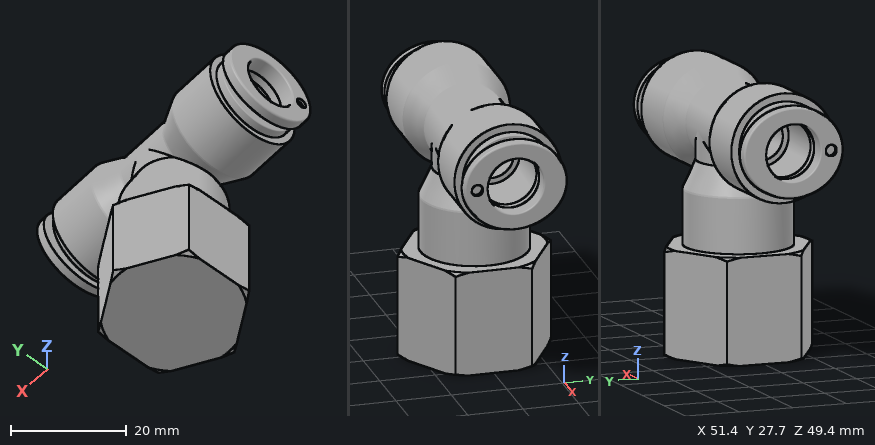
import cadquery as cq

overall_length = 51.4
overall_height = 49.4
hex_across_corners = 27.7

barrel_diameter = 19.4
barrel_radius = barrel_diameter / 2
waist_radius = 14.8 / 2
body_end = 20.8
shoulder_start = 10.7
shoulder_end = 5.65
shoulder_fillet = 0.8
shoulder_edge_margin = 0.5
through_bore_diameter = 8.0
tube_bore_diameter = 10.2
tube_stop = shoulder_start

collar_diameter = 16.5
collar_length = 1.7
collar_edge_fillet = 0.2
collar_end = body_end + collar_length

sleeve_end = overall_length / 2
sleeve_bore_diameter = 10.15
sleeve_neck_diameter = 11.7
flange_thickness = 2.0
flange_width = 18.5
flange_height = 16.05
flange_edge_fillet = 0.35
bore_mouth_fillet = 0.3
dimple_diameter = 2.0
dimple_offset = 7.0
dimple_depth = 0.6

nut_height = 19.1
nut_bottom = barrel_radius - overall_height
nut_top = nut_bottom + nut_height
chamfer_circle_radius = 12.8
chamfer_drop = 0.5


def cylinder_along_x(diameter, start, end):
    return cq.Workplane("YZ", origin=(start, 0, 0)).circle(diameter / 2).extrude(end - start)


def make_run():
    """Barrel, cone and waist of the run, revolved about X."""
    run = (
        cq.Workplane("XY")
        .moveTo(-body_end, 0)
        .lineTo(-body_end, barrel_radius)
        .lineTo(-shoulder_start, barrel_radius)
        .lineTo(-shoulder_end, waist_radius)
        .lineTo(shoulder_end, waist_radius)
        .lineTo(shoulder_start, barrel_radius)
        .lineTo(body_end, barrel_radius)
        .lineTo(body_end, 0)
        .close()
        .revolve(360, (0, 0, 0), (1, 0, 0))
    )
    shoulder_edges = cq.selectors.BoxSelector(
        (-shoulder_start - shoulder_edge_margin, -barrel_diameter, -barrel_diameter),
        (shoulder_start + shoulder_edge_margin, barrel_diameter, barrel_diameter),
    )
    return run.edges("%CIRCLE").edges(shoulder_edges).fillet(shoulder_fillet)


def make_branch():
    """Waist, cone and barrel of the branch, revolved about Z."""
    branch = (
        cq.Workplane("XZ")
        .lineTo(waist_radius, 0)
        .lineTo(waist_radius, -shoulder_end)
        .lineTo(barrel_radius, -shoulder_start)
        .lineTo(barrel_radius, nut_top)
        .lineTo(0, nut_top)
        .close()
        .revolve(360, (0, 0, 0), (0, 1, 0))
    )
    shoulder_edge = cq.selectors.NearestToPointSelector((barrel_radius, 0, -shoulder_start))
    return branch.edges("%CIRCLE").edges(shoulder_edge).fillet(shoulder_fillet)


def make_tee():
    tee = make_run().union(make_branch())
    tee = tee.cut(cylinder_along_x(through_bore_diameter, -body_end, body_end))
    for side in (-1, 1):
        tee = tee.cut(cylinder_along_x(tube_bore_diameter, side * tube_stop, side * body_end))
    return tee


def make_collar():
    """Collar on the -X run face."""
    collar = cylinder_along_x(collar_diameter, -collar_end, -body_end)
    collar = collar.faces("<X").edges().fillet(collar_edge_fillet)
    return collar.cut(cylinder_along_x(tube_bore_diameter, -collar_end, -body_end))


def make_sleeve():
    """Release sleeve on the -X collar, with an oval flange and a dimple."""
    flange = (
        cq.Workplane("YZ", origin=(-sleeve_end, 0, 0))
        .ellipse(flange_width / 2, flange_height / 2)
        .extrude(flange_thickness)
        .faces("<X").edges().fillet(flange_edge_fillet)
    )
    neck = cylinder_along_x(sleeve_neck_diameter, flange_thickness - sleeve_end, -collar_end)
    sleeve = flange.union(neck)
    sleeve = sleeve.cut(cylinder_along_x(sleeve_bore_diameter, -sleeve_end, -collar_end))
    bore_mouth = cq.selectors.RadiusNthSelector(0)
    sleeve = sleeve.faces("<X").edges("%CIRCLE").edges(bore_mouth).fillet(bore_mouth_fillet)
    dimple = cylinder_along_x(dimple_diameter, -sleeve_end, dimple_depth - sleeve_end)
    return sleeve.cut(dimple.translate((0, -dimple_offset, 0)))


def make_nut():
    """Hex prism whose corners are cut by a cone at both ends."""
    prism = (
        cq.Workplane("XY", origin=(0, 0, nut_bottom))
        .polygon(6, hex_across_corners)
        .extrude(nut_height)
        .rotate((0, 0, 0), (0, 0, 1), 90)
    )
    corner_radius = hex_across_corners / 2
    chamfer_envelope = (
        cq.Workplane("XZ")
        .moveTo(0, nut_bottom)
        .lineTo(chamfer_circle_radius, nut_bottom)
        .lineTo(corner_radius, nut_bottom + chamfer_drop)
        .lineTo(corner_radius, nut_top - chamfer_drop)
        .lineTo(chamfer_circle_radius, nut_top)
        .lineTo(0, nut_top)
        .close()
        .revolve(360, (0, 0, 0), (0, 1, 0))
    )
    return prism.intersect(chamfer_envelope)


tee = make_tee()
nut = make_nut()
collars = []
sleeves = []
for mirrored in (False, True):
    collar = make_collar()
    sleeve = make_sleeve()
    if mirrored:
        collar = collar.mirror("YZ")
        sleeve = sleeve.mirror("YZ")
    collars.append(collar.solids().val())
    sleeves.append(sleeve.solids().val())

result = cq.Compound.makeCompound([tee.solids().val(), nut.solids().val(), *collars, *sleeves])